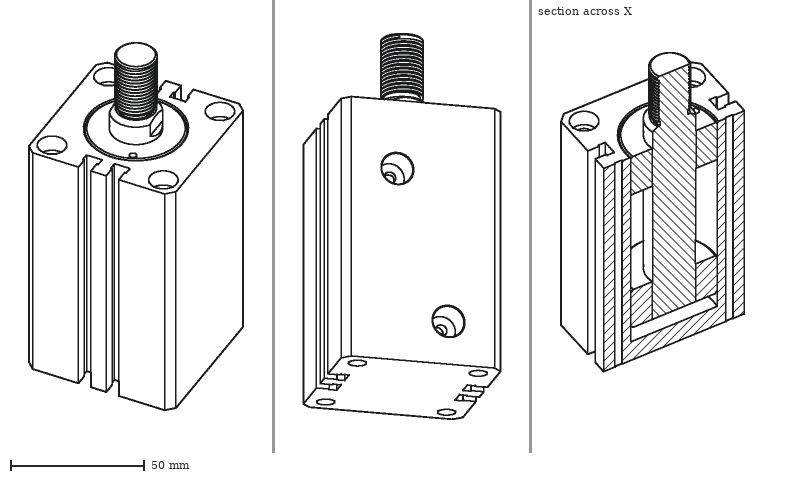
import cadquery as cq
import math


side = 62.0
housing_height = 103.0
corner_chamfer = 3.2
bore_radius = 19.2
bore_floor = 9.7
bore_mouth_chamfer = 0.5

mount_spacing = 46.9
mount_diameter = 6.8
mount_counterbore_diameter = 11.0
mount_counterbore_depth = 6.8

slot_spacing = 11.7
slot_mouth_width = 5.2
slot_foot_width = 6.5
slot_mouth_depth = 5.0
slot_depth = 8.0

port_offset = 10.0
lower_port_z = 17.0
upper_port_z = 75.9
port_mouth_radius = 6.3
port_floor_radius = 5.5
port_mouth_chamfer = 0.3
port_depth = 11.0
passage_radius = 2.2

gland_height = 19.3
gland_chamfer = 0.7
spanner_circle_radius = 16.5
spanner_angle = 113.0
spanner_hole_diameter = 2.8
spanner_hole_depth = 2.8
drill_point_angle = 118.0

piston_bottom = 16.3
piston_height = 19.3
piston_chamfer = 1.0

rod_end = 138.0
rod_radius = 20.0 / 2
collar_height = 10.0
collar_chamfer_radial = 2.2
collar_chamfer_height = 1.7
relief_radius = 6.9
relief_height = 2.1
thread_radius = 8.0
thread_depth = 0.8
thread_turns = 15.4
thread_crest_share = 0.125
groove_overshoot = 0.03
end_chamfer = 0.7
flats_width = 17.1
flats_bottom = 2.9

collar_top = housing_height + collar_height
thread_start = collar_top + relief_height
thread_length = rod_end - thread_start
thread_pitch = thread_length / thread_turns
gland_bottom = housing_height - gland_height


def make_t_slot(x, y_sign):
    """T-slot running the full height, open at the side y_sign * side / 2."""
    mouth_half = slot_mouth_width / 2
    foot_half = slot_foot_width / 2
    face = y_sign * side / 2
    step = y_sign * (side / 2 - slot_mouth_depth)
    floor = y_sign * (side / 2 - slot_depth)
    return (
        cq.Workplane("XY")
        .polyline([
            (x - mouth_half, face),
            (x - mouth_half, step),
            (x - foot_half, step),
            (x - foot_half, floor),
            (x + foot_half, floor),
            (x + foot_half, step),
            (x + mouth_half, step),
            (x + mouth_half, face),
        ])
        .close()
        .extrude(housing_height)
    )


def make_port(y, z):
    """Tapered port in the -X side: chamfered mouth, flat floor, and a passage on into the bore."""
    reach = side / 2 - port_offset
    return (
        cq.Workplane("XY")
        .polyline([
            (0, 0),
            (port_mouth_radius, 0),
            (port_mouth_radius - port_mouth_chamfer, port_mouth_chamfer),
            (port_floor_radius, port_depth),
            (passage_radius, port_depth),
            (passage_radius, reach),
            (0, reach),
        ])
        .close()
        .revolve(360, (0, 0, 0), (0, 1, 0))
        .rotate((0, 0, 0), (0, 0, 1), -90)
        .translate((-side / 2, y, z))
    )


def make_housing():
    block = (
        cq.Workplane("XY")
        .rect(side, side)
        .extrude(housing_height)
        .edges("|Z")
        .chamfer(corner_chamfer)
    )
    bore = cq.Workplane("XY", origin=(0, 0, bore_floor)).circle(bore_radius).extrude(housing_height)
    block = block.cut(bore)
    block = block.faces(">Z").edges("%CIRCLE").chamfer(bore_mouth_chamfer)
    block = (
        block.faces(">Z")
        .workplane(origin=(0, 0, housing_height))
        .rect(mount_spacing, mount_spacing, forConstruction=True)
        .vertices()
        .cboreHole(mount_diameter, mount_counterbore_diameter, mount_counterbore_depth)
    )
    for x in (-slot_spacing / 2, slot_spacing / 2):
        for y_sign in (-1, 1):
            block = block.cut(make_t_slot(x, y_sign))
    for y, z in ((port_offset, upper_port_z), (-port_offset, lower_port_z)):
        block = block.cut(make_port(y, z))
    return block


def make_spanner_hole(angle):
    """Blind hole with a drill-point floor, on the spanner circle at the given angle."""
    radius = spanner_hole_diameter / 2
    point_depth = radius / math.tan(math.radians(drill_point_angle / 2))
    return (
        cq.Workplane("XZ")
        .polyline([
            (0, 0),
            (radius, 0),
            (radius, -spanner_hole_depth),
            (0, -spanner_hole_depth - point_depth),
        ])
        .close()
        .revolve(360, (0, 0, 0), (0, 1, 0))
        .translate((spanner_circle_radius, 0, housing_height))
        .rotate((0, 0, 0), (0, 0, 1), angle)
    )


def make_gland():
    gland = (
        cq.Workplane("XY", origin=(0, 0, gland_bottom))
        .circle(bore_radius)
        .extrude(gland_height)
        .faces(">Z")
        .chamfer(gland_chamfer)
    )
    rod_hole = cq.Workplane("XY", origin=(0, 0, gland_bottom)).circle(rod_radius).extrude(gland_height)
    gland = gland.cut(rod_hole)
    for angle in (spanner_angle, spanner_angle + 180):
        gland = gland.cut(make_spanner_hole(angle))
    return gland


def make_piston():
    piston = (
        cq.Workplane("XY", origin=(0, 0, piston_bottom))
        .circle(bore_radius)
        .extrude(piston_height)
        .faces("<Z or >Z")
        .chamfer(piston_chamfer)
    )
    rod_hole = cq.Workplane("XY", origin=(0, 0, piston_bottom)).circle(rod_radius).extrude(piston_height)
    return piston.cut(rod_hole)


def make_thread_groove():
    """Helical V-groove that runs from the relief up to just below the end chamfer."""
    root_radius = thread_radius - thread_depth
    half_mouth = thread_pitch * (1 - thread_crest_share) / 2
    outer_half = half_mouth * (thread_depth + groove_overshoot) / thread_depth
    profile = (
        cq.Workplane("XZ")
        .polyline([
            (root_radius, thread_start),
            (thread_radius + groove_overshoot, thread_start - outer_half),
            (thread_radius + groove_overshoot, thread_start + outer_half),
        ])
        .close()
    )
    path_height = thread_length - end_chamfer - thread_pitch / 2
    path = cq.Wire.makeHelix(
        thread_pitch, path_height, root_radius, center=cq.Vector(0, 0, thread_start)
    )
    return profile.sweep(cq.Workplane(path), isFrenet=True)


def make_flat_cut():
    """Wrench flat on the -X side of the collar, with a 45 degree run-out below it."""
    flat = flats_width / 2
    run_out = rod_radius - flat
    bottom = housing_height + flats_bottom
    return (
        cq.Workplane("XZ")
        .polyline([
            (-flat, bottom),
            (-flat, collar_top),
            (-rod_radius, collar_top),
            (-rod_radius, bottom - run_out),
        ])
        .close()
        .extrude(rod_radius, both=True)
    )


def make_shank():
    """Everything below the thread: the plain rod, its collar with wrench flats, and the relief."""
    shank = (
        cq.Workplane("XZ")
        .polyline([
            (0, piston_bottom),
            (rod_radius, piston_bottom),
            (rod_radius, collar_top - collar_chamfer_height),
            (rod_radius - collar_chamfer_radial, collar_top),
            (relief_radius, collar_top),
            (relief_radius, thread_start),
            (0, thread_start),
        ])
        .close()
        .revolve(360, (0, 0, 0), (0, 1, 0))
    )
    flat_cut = make_flat_cut()
    return shank.cut(flat_cut).cut(flat_cut.mirror("YZ"))


def make_threaded_end():
    blank = (
        cq.Workplane("XY", origin=(0, 0, thread_start))
        .circle(thread_radius)
        .extrude(thread_length)
        .faces(">Z")
        .chamfer(end_chamfer)
    )
    return blank.cut(make_thread_groove())


def make_rod():
    return make_shank().union(make_threaded_end())


housing = make_housing()
gland = make_gland()
piston = make_piston()
rod = make_rod()

result = cq.Compound.makeCompound([body.solids().val() for body in (housing, gland, piston, rod)])